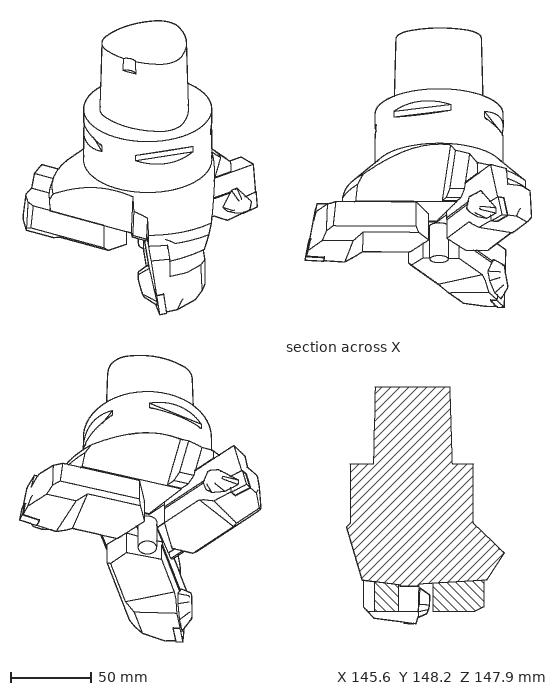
import cadquery as cq
import math

TOOTH_ANGLES = [0, 123, -117]
BIG = 296.5

SHANK_LENGTH = 48.0
FLANK_RADIUS = 25.5
SEAM_RADIUS = 28.0
CORNER_RADIUS = 29.8
SEAM_ANGLE = 39.0
FLANK_ANGLES = [270, 390, 510]
FLANK_PITCH = 120
TAPER_LENGTH_PER_INSET = 40
SHANK_TAPER = SHANK_LENGTH / TAPER_LENGTH_PER_INSET
KEYWAY_DIAMETER = 12.0
KEYWAY_DEPTH = 8.6
KEYWAY_FLOOR_Y = -22.2

FLANGE_RADIUS = 40.0
FLANGE_BOTTOM_Z = -36.9
CONE_END_RADIUS = 59.7
CONE_END_Z = -56.3
SKIRT_RADIUS = 61.5
SKIRT_Z = -62.5
BODY_BOTTOM_RADIUS = 60.6
BODY_BOTTOM_Z = -76.3
SKIRT_FLAT_X = -60.3

SLOT_COUNT = 4
SLOT_START_ANGLE = 45
SLOT_Z = -12.3
SLOT_FLOOR_DISTANCE = 35.5
SLOT_FLOOR_HEIGHT = 3.9
SLOT_WALL_ANGLE = 30.0

PIN_DIAMETER = 12.0
PIN_BOTTOM_Z = -98.4
PIN_CHAMFER_LENGTH = 2.0
PIN_CHAMFER_WIDTH = 0.3

FLUTE_ANGLE = 16.4
FLUTE_TOP_DISTANCE = 41.2
FLUTE_TOP_Z = -37.8
FLUTE_STEP = 7.7
FLUTE_WALL_Y = 12.7
STEP_BOTTOM_Z = -67.7
STEP_BEVEL = 4.3

FACE_Y = 4.6
LOWER_FACE_Y = 4.2
FACE_STEP_Z = -78.4
FACE_STEP_HEIGHT = 1.0
WING_TOP_Z = -64.3
WING_BACK_Y = -7.3
WING_CLEARANCE = 0.6
SHELF_Z = -75.6
BACK_Y = -30.2
TILT = 7.4
HEAD_BOTTOM_Z = -99.3
BAR_BOTTOM_Z = -92.0
BEVEL_START_Z = -89.1
BEVEL_ANGLE = 47.0

TIP = cq.Vector(-83.7, -0.3, -99.9)
INNER_FACE_X = -18.5
INNER_POINT = (-6.7, -15.4)
INNER_BACK_X = -14.7
RAMP_START_X = -47.7
RAMP_END_X = -59.1
WING_TOP_X = -77.4
END_SLOPE_PLAN = 0.1
END_SLOPE_DOWN = 0.18
CORNER_SIDE_X = -70.1
CORNER_SIDE_Y = -27.3
CORNER_BACK_X = -65.0
CORNER_FRONT_X = -76.5
CORNER_FRONT_Y = -18.5
END_EDGE_TOP_Y = -16.5
END_EDGE_BOTTOM_Y = -12.9
CORNER_DRAFT = 3.0
CORNER_BEVEL_Z = -91.3
CORNER_BEVEL_ANGLE = 6.0

RAKE = 0.165
RAKE_EDGE_ANGLE = 46.6
INSERT_WIDTH = 11.9
INSERT_HEIGHT = 12.7
INSERT_THICKNESS = 4.5

LUG_OUTLINE = [(30.2, 12.5), (26.1, 7.7), (16.5, 3.3), (6.2, 3.3), (5.6, 6.5), (19.5, 22.8), (24.0, 22.8)]
LUG_PEAK = (23.7, 13.3)
LUG_TOP_SCALE = 0.6
LUG_HEIGHT = 7.0
LUG_ROUNDING = 1.5


def polar(radius, angle):
    return (radius * math.cos(math.radians(angle)), radius * math.sin(math.radians(angle)))


def turned(shape, angle):
    return shape.rotate((0, 0, 0), (0, 0, 1), angle)


def beyond(point, normal):
    """Everything on the outer side of a plane."""
    return cq.Workplane(cq.Plane(origin=point, normal=normal)).rect(BIG, BIG).extrude(BIG)


def shank_outline(plane_z, inset):
    """Six arcs, alternating broad flanks and tight corners, that meet at seam points."""
    outline = cq.Workplane("XY", origin=(0, 0, plane_z))
    outline = outline.moveTo(*polar(SEAM_RADIUS - inset, FLANK_ANGLES[0] - SEAM_ANGLE))
    for flank in FLANK_ANGLES:
        flank_end = polar(SEAM_RADIUS - inset, flank + SEAM_ANGLE)
        corner_end = polar(SEAM_RADIUS - inset, flank + FLANK_PITCH - SEAM_ANGLE)
        outline = outline.threePointArc(polar(FLANK_RADIUS - inset, flank), flank_end)
        outline = outline.threePointArc(polar(CORNER_RADIUS - inset, flank + FLANK_PITCH / 2), corner_end)
    return outline.close().wire().val()


def make_shank():
    wires = [shank_outline(0, 0), shank_outline(SHANK_LENGTH, SHANK_TAPER)]
    shank = cq.Workplane(cq.Solid.makeLoft(wires, True))
    keyway = (
        cq.Workplane("XY", origin=(0, KEYWAY_FLOOR_Y - KEYWAY_DIAMETER / 2, SHANK_LENGTH))
        .circle(KEYWAY_DIAMETER / 2)
        .extrude(-KEYWAY_DEPTH)
    )
    return shank.cut(keyway)


def make_gripper_slot():
    """Flat-bottomed V-slot across the flange, cut on the +X side."""
    reach = 2 * FLANGE_RADIUS
    rise = (reach - SLOT_FLOOR_DISTANCE) * math.tan(math.radians(SLOT_WALL_ANGLE))
    half = SLOT_FLOOR_HEIGHT / 2
    profile = [
        (SLOT_FLOOR_DISTANCE, SLOT_Z - half),
        (reach, SLOT_Z - half - rise),
        (reach, SLOT_Z + half + rise),
        (SLOT_FLOOR_DISTANCE, SLOT_Z + half),
    ]
    return cq.Workplane("XZ").polyline(profile).close().extrude(FLANGE_RADIUS, both=True)


def flute_distance(z):
    """Distance of the leaning flute floor from the axis at height z."""
    return FLUTE_TOP_DISTANCE + (z - FLUTE_TOP_Z) * math.tan(math.radians(FLUTE_ANGLE))


def shelf_z(y):
    """Height of the tilted plane on which the body sits on a cartridge."""
    return SHELF_Z + (WING_BACK_Y - y) * math.tan(math.radians(TILT))


def ahead_of_tooth(wall_y, tooth_angle):
    """Everything ahead of a wall parallel to the face of a tooth."""
    return turned(beyond((0, wall_y, 0), (0, 1, 0)), tooth_angle)


def flute_section(outline):
    """Cross-section of (y, z) points, long enough to pass through the body."""
    return cq.Workplane("YZ").polyline(outline).close().extrude(BIG, both=True)


def make_flute(next_angle):
    """Chip space behind the model tooth, up to the face of the next tooth."""
    low_z = 2 * BODY_BOTTOM_Z
    floor_bottom = (-flute_distance(low_z), low_z)
    main = flute_section([(-flute_distance(0), 0), floor_bottom, (-BIG, low_z), (-BIG, 0)])

    step_y = -flute_distance(STEP_BOTTOM_Z) - FLUTE_STEP
    bevel_z = STEP_BOTTOM_Z - STEP_BEVEL
    step = flute_section(
        [
            (-flute_distance(0) - FLUTE_STEP, 0),
            (step_y, STEP_BOTTOM_Z),
            (step_y + STEP_BEVEL, bevel_z),
            (-flute_distance(bevel_z), bevel_z),
            floor_bottom,
            (-BIG, low_z),
            (-BIG, 0),
        ]
    )
    outer_y = -FLANGE_RADIUS
    underside = flute_section(
        [(WING_BACK_Y, SHELF_Z), (outer_y, shelf_z(outer_y)), (outer_y, low_z), (WING_BACK_Y, low_z)]
    )
    main = main.intersect(ahead_of_tooth(FLUTE_WALL_Y, next_angle))
    lower = step.union(underside).intersect(ahead_of_tooth(FACE_Y, next_angle))
    return main.union(lower)


def make_wing_gap():
    """Clearance in the body above the raised wing of a cartridge."""
    section = (
        cq.Workplane("YZ", origin=(INNER_FACE_X, 0, WING_TOP_Z))
        .moveTo(WING_BACK_Y, 0)
        .lineTo(FACE_Y, 0)
        .lineTo(FACE_Y, WING_CLEARANCE)
        .lineTo(WING_BACK_Y, WING_CLEARANCE)
    )
    return section.close().extrude(-BIG)


def make_body():
    """Body with its shank and central pin."""
    profile = [
        (0, 0),
        (FLANGE_RADIUS, 0),
        (FLANGE_RADIUS, FLANGE_BOTTOM_Z),
        (CONE_END_RADIUS, CONE_END_Z),
        (SKIRT_RADIUS, SKIRT_Z),
        (BODY_BOTTOM_RADIUS, BODY_BOTTOM_Z),
        (0, BODY_BOTTOM_Z),
    ]
    body = cq.Workplane("XZ").polyline(profile).close().revolve(360, (0, 0, 0), (0, 1, 0))
    for i in range(SLOT_COUNT):
        body = body.cut(turned(make_gripper_slot(), SLOT_START_ANGLE + 360 / SLOT_COUNT * i))
    flat = beyond((SKIRT_FLAT_X, 0, 0), (-1, 0, 0))
    for i, angle in enumerate(TOOTH_ANGLES):
        next_angle = TOOTH_ANGLES[(i + 1) % len(TOOTH_ANGLES)]
        flute = make_flute(next_angle - angle)
        body = body.cut(turned(flute, angle)).cut(turned(flat, angle))
        body = body.cut(turned(make_wing_gap(), angle))
    pin = cq.Workplane("XY").circle(PIN_DIAMETER / 2).extrude(PIN_BOTTOM_Z)
    pin = pin.faces("<Z").chamfer(PIN_CHAMFER_LENGTH, PIN_CHAMFER_WIDTH)
    return body.union(make_shank()).union(pin)


def end_x(y, z):
    """X of the leaning end face of the cartridge."""
    return WING_TOP_X - END_SLOPE_PLAN * (y - FACE_Y) - END_SLOPE_DOWN * (WING_TOP_Z - z)


def rake_normal():
    """Outward direction of the rake face, which falls away from a slanting edge on the tooth face."""
    edge = math.radians(RAKE_EDGE_ANGLE)
    return cq.Vector(-RAKE * math.sin(edge), 1, -RAKE * math.cos(edge))


def rake_plane():
    """Lies in the rake face at the tip: x runs inward, y up, and z into the cartridge."""
    normal = rake_normal()
    return cq.Plane(origin=TIP, xDir=(normal.y, -normal.x, 0), normal=normal * -1)


def make_cartridge_blank():
    """Long bar with a raised wing, pointed at the inner end to fit between its neighbours."""
    tilt = math.tan(math.radians(TILT))
    section = [
        (FACE_Y, WING_TOP_Z),
        (WING_BACK_Y, WING_TOP_Z),
        (WING_BACK_Y, SHELF_Z),
        (BACK_Y, shelf_z(BACK_Y)),
        (BACK_Y, HEAD_BOTTOM_Z + (TIP.y - BACK_Y) * tilt),
        (LOWER_FACE_Y, HEAD_BOTTOM_Z + (TIP.y - LOWER_FACE_Y) * tilt),
        (LOWER_FACE_Y, FACE_STEP_Z - FACE_STEP_HEIGHT),
        (FACE_Y, FACE_STEP_Z),
    ]
    blank = cq.Workplane("YZ").polyline(section).close().extrude(-BIG)
    plan = [
        (-BIG, FACE_Y),
        (INNER_FACE_X, FACE_Y),
        INNER_POINT,
        (INNER_BACK_X, BACK_Y),
        (-BIG, BACK_Y),
    ]
    return blank.intersect(cq.Workplane("XY").polyline(plan).close().extrude(-BIG))


def facet_normal(start, finish):
    """Level direction facing out of a facet whose upper edge runs from start to finish."""
    along = (finish - start).normalized()
    return cq.Vector(along.y, -along.x, 0)


def cut_corner(cartridge):
    """Cuts the end face and the three facets that lead round to the back."""
    end_normal = (-1, -END_SLOPE_PLAN, END_SLOPE_DOWN)
    cartridge = cartridge.cut(beyond((end_x(0, TIP.z), 0, TIP.z), end_normal))

    front = cq.Vector(CORNER_FRONT_X, CORNER_FRONT_Y, SHELF_Z)
    side = cq.Vector(CORNER_SIDE_X, CORNER_SIDE_Y, SHELF_Z)
    back = cq.Vector(CORNER_BACK_X, BACK_Y, SHELF_Z)
    edge_top = cq.Vector(end_x(END_EDGE_TOP_Y, SHELF_Z), END_EDGE_TOP_Y, SHELF_Z)
    edge_bottom = cq.Vector(end_x(END_EDGE_BOTTOM_Y, TIP.z), END_EDGE_BOTTOM_Y, TIP.z)
    draft = math.tan(math.radians(CORNER_DRAFT))
    for start, finish in ((front, side), (side, back)):
        outward = facet_normal(start, finish)
        cartridge = cartridge.cut(beyond(start, outward + cq.Vector(0, 0, draft)))

    outward = facet_normal(front, side)
    bevel_drop = SHELF_Z - CORNER_BEVEL_Z
    bevel_start = front + outward * (bevel_drop * draft) - cq.Vector(0, 0, bevel_drop)
    bevel_lean = cq.Vector(0, 0, -math.tan(math.radians(CORNER_BEVEL_ANGLE)))
    cartridge = cartridge.cut(beyond(bevel_start, outward + bevel_lean))
    blend_normal = (edge_bottom - edge_top).cross(front - edge_top)
    return cartridge.cut(beyond(edge_top, blend_normal))


def cut_underside(cartridge):
    """Raises the inner bar above the head and bevels the lower edges."""
    ramp = [
        (0, BAR_BOTTOM_Z),
        (RAMP_START_X, BAR_BOTTOM_Z),
        (RAMP_END_X, TIP.z),
        (RAMP_END_X, -BIG),
        (0, -BIG),
    ]
    cartridge = cartridge.cut(cq.Workplane("XZ").polyline(ramp).close().extrude(BIG, both=True))
    bevel = math.radians(BEVEL_ANGLE)
    back_normal = (0, -math.sin(bevel), -math.cos(bevel))
    return cartridge.cut(beyond((0, BACK_Y, BEVEL_START_Z), back_normal))


def make_lug():
    """Clamp lug on the rake face: a frustum whose rounded top is shifted away from the tip."""
    top_outline = [
        tuple(p + (value - p) * LUG_TOP_SCALE for value, p in zip(point, LUG_PEAK))
        for point in LUG_OUTLINE
    ]
    lug = (
        cq.Workplane(rake_plane())
        .polyline(LUG_OUTLINE)
        .close()
        .workplane(offset=-LUG_HEIGHT)
        .polyline(top_outline)
        .close()
        .loft(ruled=True)
    )
    top_edges = lug.faces(cq.selectors.DirectionMinMaxSelector(rake_normal())).edges()
    return top_edges.fillet(LUG_ROUNDING)


def make_insert():
    """Flat cutting insert, flush with the rake face, with its outer side leaning like the end face."""
    lean = INSERT_HEIGHT * END_SLOPE_DOWN
    outline = [(0, 0), (INSERT_WIDTH, 0), (INSERT_WIDTH, INSERT_HEIGHT), (lean, INSERT_HEIGHT)]
    return cq.Workplane(rake_plane()).polyline(outline).close().extrude(INSERT_THICKNESS)


def make_cartridge():
    cartridge = cut_underside(cut_corner(make_cartridge_blank()))
    cartridge = cartridge.cut(beyond(TIP, rake_normal()))
    return cartridge.union(make_lug()).cut(make_insert())


body = make_body()
cartridge = make_cartridge()
insert = make_insert()
cartridges = [turned(cartridge, angle) for angle in TOOTH_ANGLES]
inserts = [turned(insert, angle) for angle in TOOTH_ANGLES]
for seated in cartridges + inserts:
    body = body.cut(seated)

result = cq.Compound.makeCompound(
    [body.val(), *[c.val() for c in cartridges], *[i.val() for i in inserts]]
)